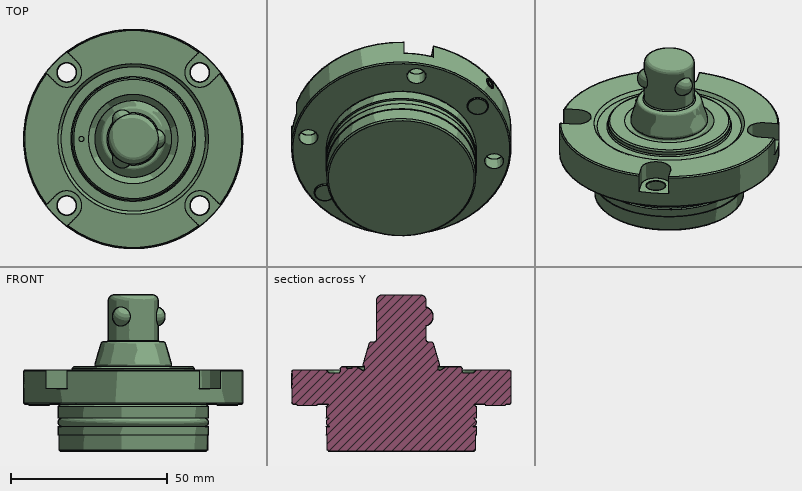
import cadquery as cq
import math

SPIGOT_R = 24.0
SPIGOT_FOOT_R = 23.75
SPIGOT_FOOT_TOP = 5.3
SPIGOT_FOOT_CHAMFER = 0.5
SPIGOT_NECK_CHAMFER = 0.7
SEAL_BOTTOM = 7.9
SEAL_TOP = 10.6
SEAL_STANDOUT = 0.03

FLANGE_R = 35.0
FLANGE_BOTTOM = 15.0
FLANGE_TOP = 26.0
FLANGE_CHAMFER = 0.4

RECESS_R = 24.0
RECESS_DEPTH = 1.0

COVER_R = 19.5
COVER_TOP = 27.0
COVER_CHAMFER = 0.5
COVER_FOOT_CHAMFER = 0.4
SEAT_R = 14.25
SEAT_INNER_R = 12.5
SEAT_SLOPE = math.radians(30)
SEAT_BOTTOM = COVER_TOP - (SEAT_R - SEAT_INNER_R) * math.tan(SEAT_SLOPE)

COLLAR_BASE_R = 12.25
COLLAR_BOTTOM = 27.15
COLLAR_CONE_BOTTOM = 27.8
COLLAR_TOP_R = 10.15
COLLAR_TOP_Z = 35.0
COLLAR_FILLET = 1.0

NECK_FILLET = 0.5

PIN_R = 8.0
PIN_TOP = 50.0
PIN_FILLET = 2.0
PIN_FOOT_CHAMFER = 0.4
BALL_COUNT = 3
BALL_R = 3.2
BALL_ORBIT_R = 7.0
BALL_Z = 43.0

BOLT_COUNT = 4
BOLT_CIRCLE_R = 30.0
BOLT_HOLE_R = 3.0
BOLT_HOLE_CHAMFER = 0.15
POCKET_HALF_WIDTH = 4.75
POCKET_FLOOR = 20.0

COVER_HOLE_R = 0.8
COVER_HOLE_X = -16.5
COVER_HOLE_DEPTH = 0.5
PLUG_R = 1.2
PLUG_RING_R = 1.75
PLUG_RING_DEPTH = 0.3
PLUG_Z = 23.0

PAD_R = 3.4
PAD_X = 30.0
PAD_HEIGHT = 0.4
PAD_CHAMFER = 0.3


def turned_base():
    """Spigot, flange, ring recess, cover disc and neck as one turned body."""
    seal_r = (SEAL_TOP - SEAL_BOTTOM) / 2
    seal_z = (SEAL_TOP + SEAL_BOTTOM) / 2
    seal_outer_r = SPIGOT_R + SEAL_STANDOUT
    seal_centre_r = seal_outer_r - seal_r
    recess_floor = FLANGE_TOP - RECESS_DEPTH

    fillet_end_angle = SEAT_SLOPE - math.pi / 2
    fillet_centre_r = SEAT_INNER_R - NECK_FILLET * math.cos(fillet_end_angle)
    fillet_centre_z = SEAT_BOTTOM - NECK_FILLET * math.sin(fillet_end_angle)

    def fillet_point(angle):
        return (
            fillet_centre_r + NECK_FILLET * math.cos(angle),
            fillet_centre_z + NECK_FILLET * math.sin(angle),
        )

    neck_start = fillet_point(-math.pi)
    fillet_middle = (fillet_end_angle - math.pi) / 2
    return (
        cq.Workplane("XZ")
        .moveTo(0, 0)
        .lineTo(SPIGOT_FOOT_R - SPIGOT_FOOT_CHAMFER, 0)
        .lineTo(SPIGOT_FOOT_R, SPIGOT_FOOT_CHAMFER)
        .lineTo(SPIGOT_FOOT_R, SPIGOT_FOOT_TOP)
        .lineTo(SPIGOT_R, SPIGOT_FOOT_TOP)
        .lineTo(SPIGOT_R, SEAL_BOTTOM)
        .lineTo(seal_centre_r, SEAL_BOTTOM)
        .threePointArc((seal_outer_r, seal_z), (seal_centre_r, SEAL_TOP))
        .lineTo(SPIGOT_R, SEAL_TOP)
        .lineTo(SPIGOT_R, FLANGE_BOTTOM - SPIGOT_NECK_CHAMFER)
        .lineTo(SPIGOT_R - SPIGOT_NECK_CHAMFER, FLANGE_BOTTOM)
        .lineTo(FLANGE_R - FLANGE_CHAMFER, FLANGE_BOTTOM)
        .lineTo(FLANGE_R, FLANGE_BOTTOM + FLANGE_CHAMFER)
        .lineTo(FLANGE_R, FLANGE_TOP - FLANGE_CHAMFER)
        .lineTo(FLANGE_R - FLANGE_CHAMFER, FLANGE_TOP)
        .lineTo(RECESS_R, FLANGE_TOP)
        .lineTo(RECESS_R - RECESS_DEPTH, recess_floor)
        .lineTo(COVER_R + COVER_FOOT_CHAMFER, recess_floor)
        .lineTo(COVER_R, recess_floor + COVER_FOOT_CHAMFER)
        .lineTo(COVER_R, COVER_TOP - COVER_CHAMFER)
        .lineTo(COVER_R - COVER_CHAMFER, COVER_TOP)
        .lineTo(SEAT_R, COVER_TOP)
        .lineTo(SEAT_INNER_R, SEAT_BOTTOM)
        .threePointArc(fillet_point(fillet_middle), neck_start)
        .lineTo(neck_start[0], COLLAR_BOTTOM)
        .lineTo(0, COLLAR_BOTTOM)
        .close()
        .revolve(360, (0, 0, 0), (0, 1, 0))
    )


def collar():
    """Conical collar with a short cylindrical foot and a rounded top edge."""
    cone = (
        cq.Workplane("XZ")
        .moveTo(0, COLLAR_BOTTOM)
        .lineTo(COLLAR_BASE_R, COLLAR_BOTTOM)
        .lineTo(COLLAR_BASE_R, COLLAR_CONE_BOTTOM)
        .lineTo(COLLAR_TOP_R, COLLAR_TOP_Z)
        .lineTo(0, COLLAR_TOP_Z)
        .close()
        .revolve(360, (0, 0, 0), (0, 1, 0))
    )
    return cone.faces(">Z").edges().fillet(COLLAR_FILLET)


def pin():
    """Round-topped pin with a small chamfer where it meets the collar."""
    shaft = (
        cq.Workplane("XY", origin=(0, 0, COLLAR_TOP_Z))
        .circle(PIN_R)
        .extrude(PIN_TOP - COLLAR_TOP_Z)
        .faces(">Z")
        .edges()
        .fillet(PIN_FILLET)
    )
    foot = cq.Solid.makeCone(
        PIN_R + PIN_FOOT_CHAMFER, PIN_R, PIN_FOOT_CHAMFER, pnt=cq.Vector(0, 0, COLLAR_TOP_Z)
    )
    return shaft.union(foot)


def balls():
    """Locking balls half sunk in the pin, the first one on +X."""
    return (
        cq.Workplane("XY", origin=(0, 0, BALL_Z))
        .polarArray(BALL_ORBIT_R, 0, 360, BALL_COUNT)
        .sphere(BALL_R)
    )


def pads():
    """Two round pads under the flange, on the X axis."""
    return (
        cq.Workplane("XY", origin=(0, 0, FLANGE_BOTTOM))
        .pushPoints([(-PAD_X, 0), (PAD_X, 0)])
        .circle(PAD_R)
        .extrude(-PAD_HEIGHT)
        .faces("<Z")
        .edges()
        .chamfer(PAD_CHAMFER)
    )


def bolt_cut(angle):
    """Chamfered through hole and rim pocket of one bolt."""
    hole = cq.Workplane("XY").center(BOLT_CIRCLE_R, 0).circle(BOLT_HOLE_R).extrude(FLANGE_TOP)
    hole_edge = cq.Solid.makeCone(
        BOLT_HOLE_R,
        BOLT_HOLE_R + BOLT_HOLE_CHAMFER,
        BOLT_HOLE_CHAMFER,
        pnt=cq.Vector(BOLT_CIRCLE_R, 0, POCKET_FLOOR - BOLT_HOLE_CHAMFER),
    )
    pocket_base = cq.Workplane("XY", origin=(0, 0, POCKET_FLOOR)).center(BOLT_CIRCLE_R, 0)
    pocket_depth = FLANGE_TOP - POCKET_FLOOR
    round_end = pocket_base.circle(POCKET_HALF_WIDTH).extrude(pocket_depth)
    mouth_length = FLANGE_R - BOLT_CIRCLE_R
    mouth = (
        pocket_base.center(mouth_length / 2, 0)
        .rect(mouth_length, 2 * POCKET_HALF_WIDTH)
        .extrude(pocket_depth)
    )
    return hole.union(hole_edge).union(round_end).union(mouth).rotate((0, 0, 0), (0, 0, 1), angle)


def side_recesses():
    """Blind hole in the cover disc and ring recess around the plug in the flange rim."""
    cover_hole = (
        cq.Workplane("XY", origin=(COVER_HOLE_X, 0, COVER_TOP))
        .circle(COVER_HOLE_R)
        .extrude(-COVER_HOLE_DEPTH)
    )
    plug_ring = (
        cq.Workplane("YZ", origin=(-FLANGE_R, 0, PLUG_Z))
        .circle(PLUG_RING_R)
        .circle(PLUG_R)
        .extrude(PLUG_RING_DEPTH)
    )
    return cover_hole.union(plug_ring)


result = turned_base().union(collar()).union(pin()).union(balls()).union(pads())
for index in range(BOLT_COUNT):
    result = result.cut(bolt_cut((index + 0.5) * 360 / BOLT_COUNT))
result = result.cut(side_recesses())